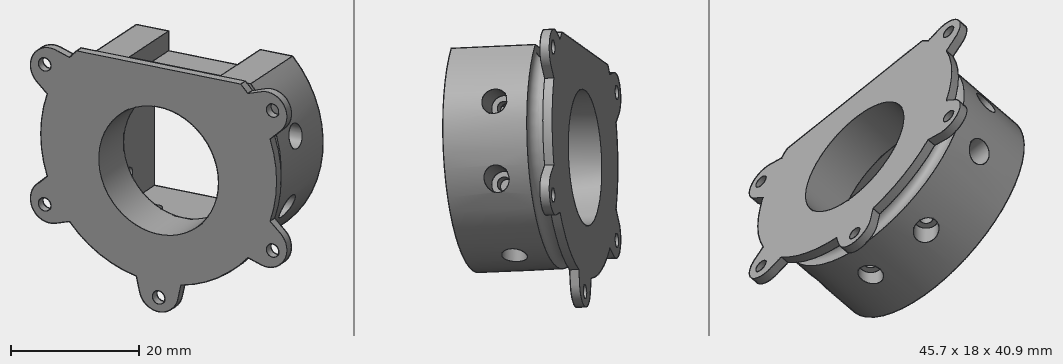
import cadquery as cq
import math

flange_thickness = 1.5
neck_length = 3.0
overall_depth = 18.0
body_start = flange_thickness + neck_length

flange_radius = 21.0
flange_flat_height = 15.08
body_radius = 19.35
body_flat_height = 13.45
neck_inset = 2.15
neck_radius = body_radius - neck_inset
neck_flat_height = body_flat_height - neck_inset
neck_fillet = 1.4

ear_angles = (30, 150, 210, 270, 330)
ear_tip_radius = 3.5
ear_tip_distance = 22.33
ear_taper = 12.5
ear_hole_distance = 23.43
screw_hole_diameter = 2.2

opening_size = 21.3
opening_center_z = -2.2
pocket_start = 8.0

recess_width = 16.3
recess_depth = 3.3
recess_start = 5.3

wall_hole_spacing = 12.0
wall_hole_y = 9.8
counterbore_diameter = 4.0
wall_under_screw_head = 2.0

pocket_half = opening_size / 2
pocket_depth = overall_depth - pocket_start


def plane_at(y):
    """Sketch plane with X right and Z up; negative extrusion runs toward +Y."""
    return cq.Workplane("XZ", origin=(0, y, 0))


def flat_topped_disc(radius, flat_height, y, length):
    half_flat = math.sqrt(radius**2 - flat_height**2)
    return (
        plane_at(y)
        .moveTo(-half_flat, flat_height)
        .threePointArc((0, -radius), (half_flat, flat_height))
        .close()
        .extrude(-length)
    )


def make_ear(angle):
    """Ear with tapering sides tangent to a round tip, turned to its angle."""
    taper = math.radians(ear_taper)
    tangent_x = ear_tip_distance + ear_tip_radius * math.sin(taper)
    tangent_z = ear_tip_radius * math.cos(taper)
    root_x = body_radius
    root_z = tangent_z + (tangent_x - root_x) * math.tan(taper)
    tip_x = ear_tip_distance + ear_tip_radius
    ear = (
        plane_at(0)
        .moveTo(root_x, -root_z)
        .lineTo(tangent_x, -tangent_z)
        .threePointArc((tip_x, 0), (tangent_x, tangent_z))
        .lineTo(root_x, root_z)
        .close()
        .extrude(-flange_thickness)
    )
    return ear.rotate((0, 0, 0), (0, 1, 0), -angle)


def make_flange():
    flange = flat_topped_disc(flange_radius, flange_flat_height, 0, flange_thickness)
    for angle in ear_angles:
        flange = flange.union(make_ear(angle))
    holes = (
        plane_at(0)
        .pushPoints([
            (
                ear_hole_distance * math.cos(math.radians(angle)),
                ear_hole_distance * math.sin(math.radians(angle)),
            )
            for angle in ear_angles
        ])
        .circle(screw_hole_diameter / 2)
        .extrude(-flange_thickness)
    )
    return flange.cut(holes)


def neck_edges_at(y):
    """Selector for the neck outline where it meets a wider face at this Y."""
    margin = 0.1
    reach = neck_radius + margin
    return cq.selectors.BoxSelector(
        (-reach, y - margin, -reach),
        (reach, y + margin, neck_flat_height + margin),
        boundingbox=True,
    )


def make_solid_shape():
    neck = flat_topped_disc(neck_radius, neck_flat_height, flange_thickness, neck_length)
    body = flat_topped_disc(body_radius, body_flat_height, body_start, overall_depth - body_start)
    shape = make_flange().union(neck).union(body)
    for y in (flange_thickness, body_start):
        shape = shape.edges(neck_edges_at(y)).fillet(neck_fillet)
    return shape


def make_opening():
    bore = plane_at(0).center(0, opening_center_z).circle(opening_size / 2).extrude(-pocket_start)
    pocket = (
        plane_at(pocket_start)
        .center(0, opening_center_z)
        .rect(opening_size, opening_size)
        .extrude(-pocket_depth)
    )
    return bore.union(pocket)


def make_top_recess():
    return cq.Workplane("XY").box(
        recess_width, overall_depth - recess_start, recess_depth, centered=(True, False, False)
    ).translate((0, recess_start, body_flat_height - recess_depth))


def make_wall_hole(side_offset, turn):
    """Counterbored hole running outward along +X, turned about the opening's axis."""
    hole_plane = cq.Workplane("YZ", origin=(0, wall_hole_y, opening_center_z + side_offset))
    hole = hole_plane.circle(screw_hole_diameter / 2).extrude(body_radius)
    head_seat = pocket_half + wall_under_screw_head
    counterbore = (
        hole_plane.workplane(offset=head_seat)
        .circle(counterbore_diameter / 2)
        .extrude(body_radius - head_seat)
    )
    axis_start = (0, 0, opening_center_z)
    axis_end = (0, 1, opening_center_z)
    return hole.union(counterbore).rotate(axis_start, axis_end, turn)


result = make_solid_shape().cut(make_opening()).cut(make_top_recess())
for turn in (0, 90, 180):
    for side in (-1, 1):
        result = result.cut(make_wall_hole(side * wall_hole_spacing / 2, turn))